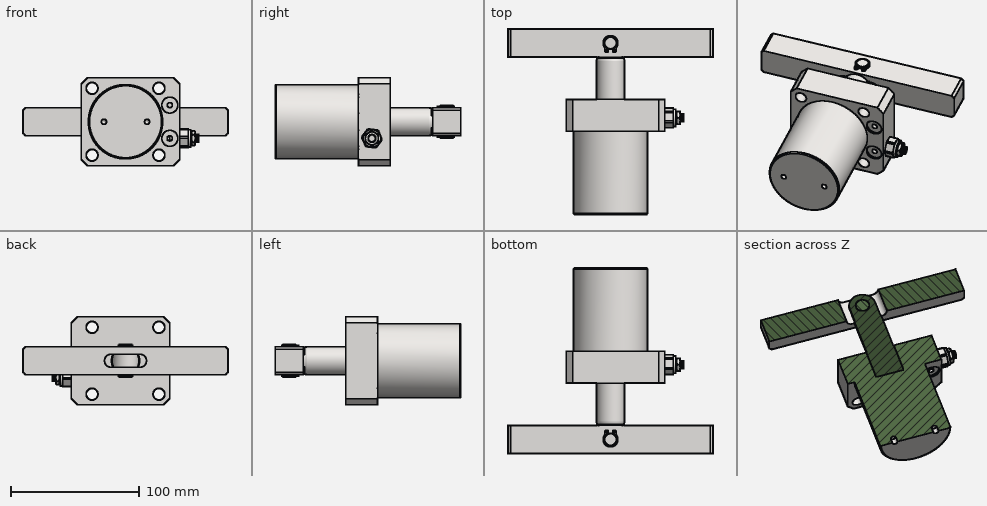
import cadquery as cq
import math


FLANGE_LEFT = 34.5
FLANGE_WIDTH = 77.0
FLANGE_HEIGHT = 69.0
FLANGE_DEPTH = 25.0
FLANGE_CHAMFER = 5.0
FLANGE_RIGHT = FLANGE_WIDTH - FLANGE_LEFT
CYLINDER_DIAMETER = 58.0
CYLINDER_LENGTH = 65.0
CYLINDER_CHAMFER = 1.0
CYLINDER_END = -FLANGE_DEPTH - CYLINDER_LENGTH
BOLT_OFFSET = 26.0
BOLT_HOLE_DIAMETER = 9.0

SPANNER_OFFSET = 16.8
SPANNER_HOLE_DIAMETER = 4.0
SPANNER_HOLE_DEPTH = 4.8
DRILL_POINT_ANGLE = 118

PORT_X = 34.5
PORT_Z = 13.0
PORT_DIAMETER = 4.0
PORT_DEPTH = 16.0
RECESS_DIAMETER = 12.5
RECESS_DEPTH = 1.5

ARM_LENGTH = 160.0
ARM_SECTION = 22.0
ARM_CHAMFER = 2.0
ARM_GAP = 33.0
ARM_Y = ARM_GAP + ARM_SECTION / 2
SLOT_LENGTH = 32.8

ROD_DIAMETER = 22.0
ROD_TAPER_LENGTH = 2.0
ROD_TAPER_DEPTH = 0.5
SHOULDER_GAP = 1.0
TONGUE_THICKNESS = 10.0
ROD_SHOULDER = ARM_GAP - SHOULDER_GAP
TONGUE_DIAMETER = ROD_DIAMETER - 2 * ROD_TAPER_DEPTH

PIN_DIAMETER = 10.0
PIN_LENGTH = 26.0
PIN_CHAMFER = 0.5
RING_DIAMETER = 11.5
RING_THICKNESS = 1.0
LUG_X = 3.0
LUG_Y = 6.0
LUG_DIAMETER = 2.9
LUG_HOLE_DIAMETER = 1.0
RING_GAP = 2 * LUG_X - LUG_DIAMETER

VALVE_Y = -14.4
VALVE_Z = -PORT_Z
HEX_FLATS = 14.0
HEX_CORNER_DIAMETER = 15.5
HEX_LENGTH = 6.5
HEX_TURN = -7
COLLAR_DIAMETER = 13.8
COLLAR_LENGTH = 2.0
SHANK_DIAMETER = 10.0
WASHER_DIAMETER = 10.0
WASHER_THICKNESS = 0.5
NUT_FLATS = 10.0
NUT_LENGTH = 2.7
NUT_CHAMFER = 0.6
SCREW_DIAMETER = 6.0
THREAD_COUNT = 3
THREAD_PITCH = 1.0
THREAD_DEPTH = 0.3
SHANK_END = PORT_X
SCREW_TIP = PORT_X - PORT_DIAMETER / 2
COLLAR_START = FLANGE_RIGHT + HEX_LENGTH
COLLAR_END = COLLAR_START + COLLAR_LENGTH
NUT_START = COLLAR_END + WASHER_THICKNESS
SCREW_START = NUT_START + NUT_LENGTH


def bar_along_y(diameter, start, end, x=0, z=0):
    """Round bar along Y between two Y positions."""
    plane = cq.Plane(origin=(x, start, z), xDir=(1, 0, 0), normal=(0, 1, 0))
    return cq.Workplane(plane).circle(diameter / 2).extrude(end - start)


def valve_plane(x):
    """Plane across the valve axis; its local x is +Y and its local y is +Z."""
    return cq.Plane(origin=(x, VALVE_Y, VALVE_Z), xDir=(0, 1, 0), normal=(1, 0, 0))


def valve_bar(diameter, start, end):
    """Round bar on the valve axis between two X positions."""
    return cq.Workplane(valve_plane(start)).circle(diameter / 2).extrude(end - start)


def valve_hex(flats, start, length, turn):
    """Hexagonal bar on the valve axis; a turn of zero puts a corner on the local x axis."""
    plane = valve_plane(start).rotated((0, 0, turn))
    corner_diameter = flats / math.cos(math.pi / 6)
    return cq.Workplane(plane).polygon(6, corner_diameter).extrude(length)


def spanner_hole(x):
    """Blind hole with a conical drill point, bored into the cylinder end."""
    radius = SPANNER_HOLE_DIAMETER / 2
    point = radius / math.tan(math.radians(DRILL_POINT_ANGLE / 2))
    bottom = CYLINDER_END + SPANNER_HOLE_DEPTH
    return (
        cq.Workplane("XY", origin=(x, 0, 0))
        .moveTo(0, CYLINDER_END)
        .lineTo(radius, CYLINDER_END)
        .lineTo(radius, bottom)
        .lineTo(0, bottom + point)
        .close()
        .revolve(360, (0, 0, 0), (0, 1, 0))
    )


def make_housing():
    flange = (
        cq.Workplane("XY")
        .box(FLANGE_WIDTH, FLANGE_DEPTH, FLANGE_HEIGHT)
        .edges("|Y")
        .chamfer(FLANGE_CHAMFER)
        .translate((FLANGE_WIDTH / 2 - FLANGE_LEFT, -FLANGE_DEPTH / 2, 0))
    )
    cylinder = bar_along_y(CYLINDER_DIAMETER, CYLINDER_END, -FLANGE_DEPTH)
    cylinder = cylinder.faces("<Y").chamfer(CYLINDER_CHAMFER)
    housing = flange.union(cylinder)
    for x in (-BOLT_OFFSET, BOLT_OFFSET):
        for z in (-BOLT_OFFSET, BOLT_OFFSET):
            housing = housing.cut(bar_along_y(BOLT_HOLE_DIAMETER, -FLANGE_DEPTH, 0, x, z))
    for x in (-SPANNER_OFFSET, SPANNER_OFFSET):
        housing = housing.cut(spanner_hole(x))
    for z in (-PORT_Z, PORT_Z):
        housing = housing.cut(
            bar_along_y(RECESS_DIAMETER, -FLANGE_DEPTH, -FLANGE_DEPTH + RECESS_DEPTH, PORT_X, z)
        )
        housing = housing.cut(
            bar_along_y(PORT_DIAMETER, -FLANGE_DEPTH, -FLANGE_DEPTH + PORT_DEPTH, PORT_X, z)
        )
    housing = housing.cut(bar_along_y(ROD_DIAMETER, -FLANGE_DEPTH, 0))
    housing = housing.cut(valve_bar(SHANK_DIAMETER, SHANK_END, FLANGE_RIGHT))
    return housing.cut(valve_bar(SCREW_DIAMETER, SCREW_TIP, SHANK_END))


def pin_bar():
    """Bar of the pin's diameter, long enough to cross the whole arm."""
    return cq.Workplane("XY").center(0, ARM_Y).circle(PIN_DIAMETER / 2).extrude(PIN_LENGTH / 2, both=True)


def make_arm():
    arm = (
        cq.Workplane("XY")
        .box(ARM_LENGTH, ARM_SECTION, ARM_SECTION)
        .edges("|Y")
        .chamfer(ARM_CHAMFER)
        .translate((0, ARM_Y, 0))
    )
    slot = (
        cq.Workplane("XZ", origin=(0, ARM_Y, 0))
        .slot2D(SLOT_LENGTH, TONGUE_THICKNESS)
        .extrude(ARM_SECTION, both=True)
    )
    return arm.cut(slot).cut(pin_bar())


def make_rod():
    taper_start = ROD_SHOULDER - ROD_TAPER_LENGTH
    shaft = bar_along_y(ROD_DIAMETER, -FLANGE_DEPTH, taper_start)
    taper_base = shaft.faces(">Y").workplane().circle(ROD_DIAMETER / 2)
    shaft = taper_base.workplane(offset=ROD_TAPER_LENGTH).circle(TONGUE_DIAMETER / 2).loft()
    straight = (
        cq.Workplane("XY")
        .box(TONGUE_DIAMETER, ARM_Y - ROD_SHOULDER, TONGUE_THICKNESS)
        .translate((0, (ROD_SHOULDER + ARM_Y) / 2, 0))
    )
    bar = bar_along_y(TONGUE_DIAMETER, ROD_SHOULDER, ARM_Y)
    tip = (
        cq.Workplane("XY")
        .center(0, ARM_Y)
        .circle(TONGUE_DIAMETER / 2)
        .extrude(TONGUE_THICKNESS / 2, both=True)
        .intersect(bar_along_y(TONGUE_DIAMETER, ROD_SHOULDER, ARM_Y + TONGUE_DIAMETER / 2))
    )
    tongue = straight.intersect(bar).union(tip)
    return shaft.union(tongue).cut(pin_bar())


def make_pin():
    return pin_bar().faces("<Z or >Z").chamfer(PIN_CHAMFER)


def make_ring(bottom):
    """Open retaining ring around the pin, with two drilled lugs beside its gap on the -Y side."""
    lugs = [(-LUG_X, -LUG_Y), (LUG_X, -LUG_Y)]
    base = cq.Workplane("XY", origin=(0, ARM_Y, bottom))
    ring = base.circle(RING_DIAMETER / 2).extrude(RING_THICKNESS)
    ring = ring.union(base.pushPoints(lugs).circle(LUG_DIAMETER / 2).extrude(RING_THICKNESS))
    webs = [(x, y / 2) for x, y in lugs]
    ring = ring.union(base.pushPoints(webs).rect(LUG_DIAMETER, LUG_Y).extrude(RING_THICKNESS))
    ring = ring.cut(base.pushPoints(lugs).circle(LUG_HOLE_DIAMETER / 2).extrude(RING_THICKNESS))
    gap = base.center(0, -LUG_Y).rect(RING_GAP, LUG_Y).extrude(RING_THICKNESS)
    return ring.cut(gap).cut(pin_bar())


def make_valve_body():
    hexagon = valve_hex(HEX_FLATS, FLANGE_RIGHT, HEX_LENGTH, HEX_TURN)
    hexagon = hexagon.intersect(valve_bar(HEX_CORNER_DIAMETER, FLANGE_RIGHT, COLLAR_START))
    body = hexagon.union(valve_bar(COLLAR_DIAMETER, COLLAR_START, COLLAR_END))
    body = body.union(valve_bar(SHANK_DIAMETER, SHANK_END, FLANGE_RIGHT))
    return body.cut(valve_bar(SCREW_DIAMETER, SHANK_END, COLLAR_END))


def make_washer():
    washer = valve_bar(WASHER_DIAMETER, COLLAR_END, NUT_START)
    return washer.cut(valve_bar(SCREW_DIAMETER, COLLAR_END, NUT_START))


def make_lock_nut():
    corner_diameter = NUT_FLATS / math.cos(math.pi / 6)
    nut = valve_hex(NUT_FLATS, NUT_START, NUT_LENGTH, 90)
    rounding = valve_bar(corner_diameter, NUT_START, SCREW_START).faces("<X or >X").chamfer(NUT_CHAMFER)
    return nut.intersect(rounding).cut(valve_bar(SCREW_DIAMETER, NUT_START, SCREW_START))


def thread_cone(base_x, length):
    """Cone frustum from the full screw diameter at base_x down to the thread root."""
    base = cq.Workplane(valve_plane(base_x)).circle(SCREW_DIAMETER / 2)
    return base.workplane(offset=length).circle(SCREW_DIAMETER / 2 - THREAD_DEPTH).loft()


def make_valve_screw():
    """Smooth bar through the valve body, with a ridged thread beyond the lock nut."""
    screw = valve_bar(SCREW_DIAMETER, SCREW_TIP, SCREW_START)
    for turn in range(THREAD_COUNT):
        start = SCREW_START + turn * THREAD_PITCH
        screw = screw.union(thread_cone(start, THREAD_PITCH / 2))
        screw = screw.union(thread_cone(start + THREAD_PITCH, -THREAD_PITCH / 2))
    return screw


housing = make_housing()
arm = make_arm()
rod = make_rod()
pin = make_pin()
rings = [make_ring(bottom) for bottom in (ARM_SECTION / 2, -ARM_SECTION / 2 - RING_THICKNESS)]
valve_body = make_valve_body()
washer = make_washer()
lock_nut = make_lock_nut()
valve_screw = make_valve_screw()

result = cq.Compound.makeCompound(
    [
        housing.val(),
        arm.val(),
        rod.val(),
        pin.val(),
        *[ring.val() for ring in rings],
        valve_body.val(),
        washer.val(),
        lock_nut.val(),
        valve_screw.val(),
    ]
)